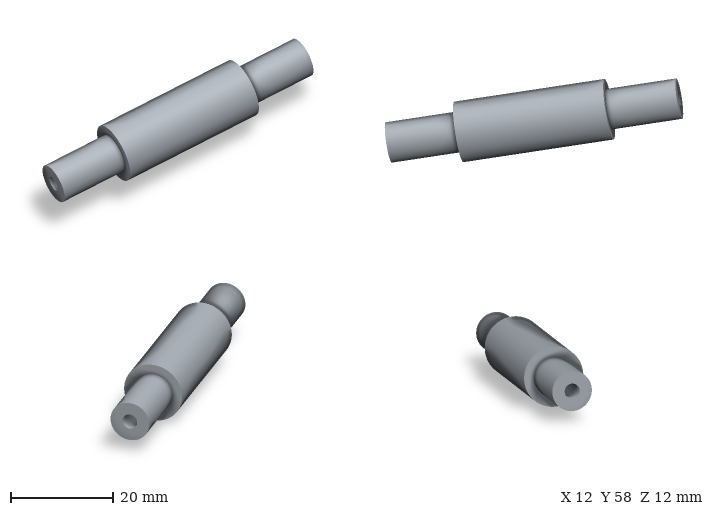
import cadquery as cq

overall_length = 58.0
body_length = 30.0
body_diameter = 12.0
journal_diameter = 8.0
bore_diameter = 3.0


def cylinder_along_y(diameter, length):
    """Solid cylinder on the Y axis, centred on the origin."""
    start_plane = cq.Workplane("XZ", origin=(0, length / 2, 0))
    return start_plane.circle(diameter / 2).extrude(length)


shaft = cylinder_along_y(journal_diameter, overall_length)
body = cylinder_along_y(body_diameter, body_length)
bore = cylinder_along_y(bore_diameter, overall_length)

result = shaft.union(body).cut(bore)